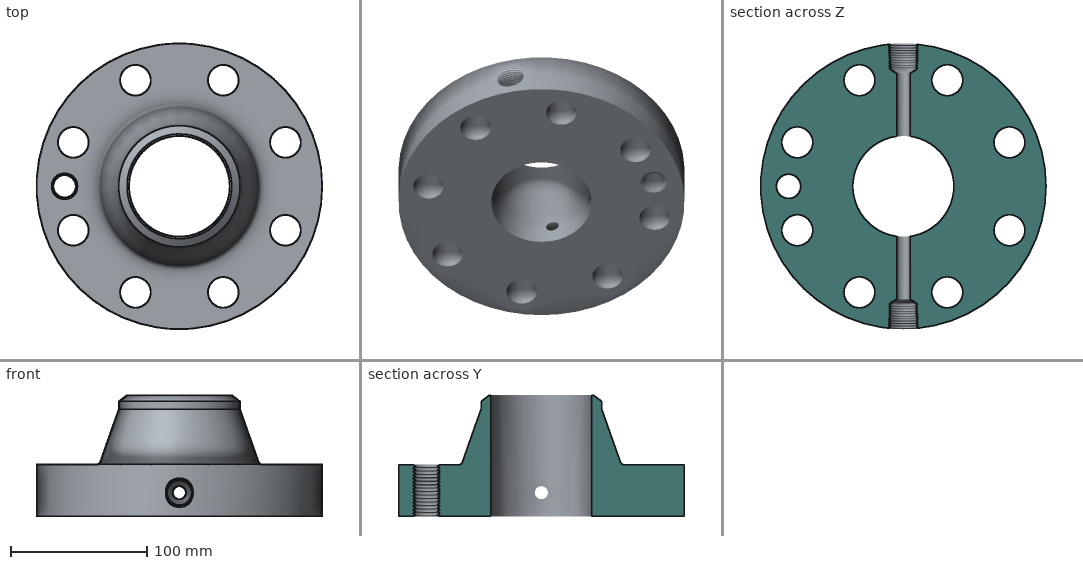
import cadquery as cq
import math

flange_diameter = 209.55
flange_thickness = 38.1
flange_radius = flange_diameter / 2

overall_height = 88.9
bore_radius = 73.66 / 2
neck_radius = 88.9 / 2
neck_straight_height = 10.3
bevel_land = 1.6
bevel_angle = 37.5
hub_base_radius = 117.5 / 2
hub_fillet_radius = 3.0

bolt_circle_radius = 168.3 / 2
bolt_count = 8
bolt_hole_diameter = 22.3

jack_major_diameter = 19.05
jack_pitch = 25.4 / 10

tap_height = 17.4
tap_drill_diameter = 9.5
tap_major_diameter = 21.2
tap_pitch = 25.4 / 14
tap_thread_count = 11
tap_taper = 1 / 16
tap_drill_point_angle = 118

thread_flank_angle = 60
thread_root_flat = 1 / 8
thread_crest_flat = 1 / 4

cut_margin = 1.0


def tan_degrees(angle):
    return math.tan(math.radians(angle))


def make_body():
    """Flange plate with the tapered hub and bevelled neck, revolved about Z."""
    bevel_radius = bore_radius + bevel_land
    bevel_height = (neck_radius - bevel_radius) * tan_degrees(bevel_angle)
    profile = [
        (bore_radius, 0),
        (flange_radius, 0),
        (flange_radius, flange_thickness),
        (hub_base_radius, flange_thickness),
        (neck_radius, overall_height - neck_straight_height),
        (neck_radius, overall_height - bevel_height),
        (bevel_radius, overall_height),
        (bore_radius, overall_height),
    ]
    body = cq.Workplane("XZ").polyline(profile).close().revolve(360, (0, 0), (0, 1))
    hub_foot_edge = cq.selectors.RadiusNthSelector(-2)
    return body.edges("%CIRCLE").edges(hub_foot_edge).fillet(hub_fillet_radius)


def make_bolt_holes():
    return (
        cq.Workplane("XY")
        .polarArray(bolt_circle_radius, 180 / bolt_count, 360, bolt_count)
        .circle(bolt_hole_diameter / 2)
        .extrude(flange_thickness)
    )


def thread_outline(major_diameter, pitch, start, turns, taper=0):
    """(radius, depth) points of ring-shaped threads, from depth `start` on."""
    flank = pitch * (1 - thread_root_flat - thread_crest_flat) / 2
    thread_depth = flank / tan_degrees(thread_flank_angle / 2)

    def point(depth, inset):
        return (major_diameter / 2 - inset - depth * taper / 2, depth)

    points = []
    for turn in range(turns):
        root_start = start + turn * pitch
        root_end = root_start + thread_root_flat * pitch
        crest_start = root_end + flank
        crest_end = crest_start + thread_crest_flat * pitch
        points.append(point(root_start, 0))
        points.append(point(root_end, 0))
        points.append(point(crest_start, thread_depth))
        points.append(point(crest_end, thread_depth))
    return points


def revolve_cutter(outline):
    """Solid of revolution about Z; the outline is closed along the axis."""
    axis_start = (0, outline[0][1])
    axis_end = (0, outline[-1][1])
    profile = [axis_start] + outline + [axis_end]
    return cq.Workplane("XZ").polyline(profile).close().revolve(360, (0, 0), (0, 1))


def make_jack_screw_hole():
    turns = math.ceil(flange_thickness / jack_pitch) + 1
    outline = thread_outline(jack_major_diameter, jack_pitch, 0, turns)
    top_down = revolve_cutter(outline).rotate((0, 0, 0), (1, 0, 0), 180)
    return top_down.translate((-bolt_circle_radius, 0, flange_thickness))


def make_pressure_tap():
    """Tapered thread, drill point and drilled passage, entering from the -Y side."""
    outline = thread_outline(tap_major_diameter, tap_pitch, -tap_pitch, tap_thread_count + 1, tap_taper)
    thread_end_radius, thread_end = outline[-1]
    drill_radius = tap_drill_diameter / 2
    point_length = (thread_end_radius - drill_radius) / tan_degrees(tap_drill_point_angle / 2)
    outline.append((drill_radius, thread_end + point_length))
    outline.append((drill_radius, flange_radius - bore_radius + cut_margin))
    inward = revolve_cutter(outline).rotate((0, 0, 0), (1, 0, 0), -90)
    return inward.translate((0, -flange_radius, tap_height))


result = make_body().cut(make_bolt_holes()).cut(make_jack_screw_hole())
for tap_direction in (0, 180):
    result = result.cut(make_pressure_tap().rotate((0, 0, 0), (0, 0, 1), tap_direction))